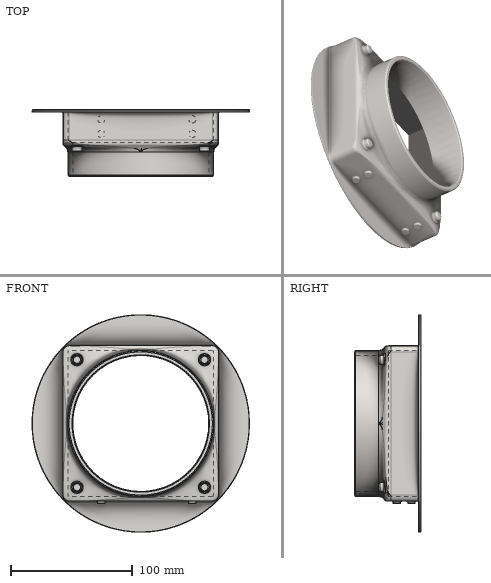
import cadquery as cq
import math

flange_diameter = 179.0
flange_thickness = 2.0
flange_edge_radius = 1.0

box_width = 128.0
box_corner_radius = 5.0
box_front = 25.0
wall = 4.0
foot_radius = 1.0

spigot_diameter = 120.0
spigot_base = 35.0
total_depth = 55.0
spigot_edge_chamfer = 1.0
bore_edge_chamfer = 0.6
transition_sections = 9
transition_start_slope = 2.0
transition_end_slope = 2.2
last_flat = 0.1

cavity_depth = 27.0
cavity_width = box_width - 2 * wall
cavity_corner_radius = box_corner_radius - wall
bore_diameter = spigot_diameter - 2 * wall

pin_diameter = 8.0
pin_spacing = 105.0
pin_shoulder = 31.5
pin_top = 35.0
pin_edge_chamfer = 1.0
pin_root_length = 3.0

boss_diameter = 6.0
boss_height = 2.0
boss_root_length = wall / 2
boss_x_positions = (-32.5, 42.5)
boss_depths = (8.0, 20.0)


def plane_at(depth):
    """Workplane parallel to XZ at the given depth, facing -Y."""
    return cq.Workplane("XZ", origin=(0, -depth, 0))


def rounded_square(start, end, width, corner_radius):
    """Square prism with rounded corners between two depths."""
    block = plane_at(start).rect(width, width).extrude(end - start)
    return block.edges("|Y").fillet(corner_radius)


def make_flange():
    disc = plane_at(0).circle(flange_diameter / 2).extrude(flange_thickness)
    return disc.edges(">Y").fillet(flange_edge_radius)


def make_box():
    """Square box, sunk halfway into the flange so that the two join."""
    return rounded_square(flange_thickness / 2, box_front, box_width, box_corner_radius)


def transition_depth(fraction):
    """Depth at a fraction of the transition: a cubic with the given slopes at both ends."""
    cubic = transition_start_slope + transition_end_slope - 2
    square = 3 - 2 * transition_start_slope - transition_end_slope
    advance = cubic * fraction ** 3 + square * fraction ** 2 + transition_start_slope * fraction
    return box_front + advance * (spigot_base - box_front)


def transition_wire(fraction):
    """Outline at a fraction of the transition: the corners grow until the square is a circle."""
    rounding = fraction ** 2 * (3 - 2 * fraction)
    narrowing = rounding ** 2
    end_radius = (spigot_diameter - last_flat) / 2
    width = box_width + narrowing * (spigot_diameter - box_width)
    radius = box_corner_radius + rounding * (end_radius - box_corner_radius)
    depth = transition_depth(fraction)
    square = plane_at(depth).rect(width, width).val()
    return square.fillet2D(radius, square.Vertices())


def make_transition():
    steps = transition_sections - 1
    wires = [transition_wire(step / steps) for step in range(transition_sections)]
    return cq.Workplane(cq.Solid.makeLoft(wires))


def make_spigot():
    tube = plane_at(spigot_base).circle(spigot_diameter / 2).extrude(total_depth - spigot_base)
    return tube.edges("<Y").chamfer(spigot_edge_chamfer)


def footed_post(diameter, root, shoulder, top):
    """Round post along +Z with a concave foot that ends at the shoulder height."""
    radius = diameter / 2
    foot_outer = radius + foot_radius
    foot_start = shoulder - foot_radius
    arc_inset = foot_radius * math.sqrt(0.5)
    profile = (
        cq.Workplane("XZ")
        .moveTo(0, root)
        .lineTo(foot_outer, root)
        .lineTo(foot_outer, foot_start)
        .threePointArc((foot_outer - arc_inset, shoulder - arc_inset), (radius, shoulder))
        .lineTo(radius, top)
        .lineTo(0, top)
        .close()
    )
    return profile.revolve(360, (0, 0, 0), (0, 1, 0))


def make_pins():
    root = pin_shoulder - pin_root_length
    post = footed_post(pin_diameter, root, pin_shoulder, pin_top)
    post = post.faces(">Z").edges().chamfer(pin_edge_chamfer)
    pin = post.rotate((0, 0, 0), (1, 0, 0), 90).val()
    pin_offsets = (-pin_spacing / 2, pin_spacing / 2)
    pins = [pin.translate(cq.Vector(x, 0, z)) for x in pin_offsets for z in pin_offsets]
    return cq.Workplane(cq.Compound.makeCompound(pins))


def make_bosses():
    post = footed_post(boss_diameter, -boss_root_length, foot_radius, boss_height)
    boss = post.rotate((0, 0, 0), (1, 0, 0), 180).val()
    centres = [(x, -depth) for x in boss_x_positions for depth in boss_depths]
    wall_face = cq.Workplane("XY", origin=(0, 0, -box_width / 2))
    return wall_face.pushPoints(centres).eachpoint(boss.moved)


def make_cavity():
    square = rounded_square(0, cavity_depth, cavity_width, cavity_corner_radius)
    bore = plane_at(0).circle(bore_diameter / 2).extrude(total_depth)
    return square.union(bore)


def fillet_foot(part):
    """Round the concave line between the box and the flange."""
    near = box_width / 2 + foot_radius
    zone = cq.selectors.BoxSelector((-near, -box_front / 2, -near), (near, -flange_thickness / 2, near))
    straight_edges = part.edges(zone).edges("%LINE")
    return straight_edges.fillet(foot_radius)


def break_bore_edge(part):
    """Chamfer the front edge of the bore, the smallest circle on the front face."""
    rim_edges = part.faces("<Y").edges(cq.selectors.RadiusNthSelector(0))
    return rim_edges.chamfer(bore_edge_chamfer)


result = fillet_foot(make_flange().union(make_box()))
result = result.union(make_transition()).union(make_spigot())
result = result.union(make_pins()).union(make_bosses()).cut(make_cavity())
result = break_bore_edge(result)